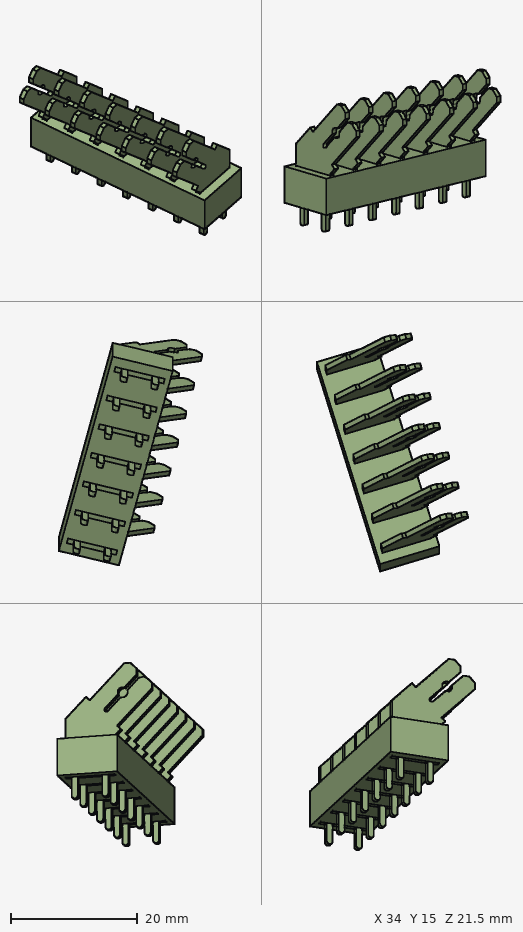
import cadquery as cq
import math

HOUSING_LENGTH = 34.0
HOUSING_DEPTH = 9.8
HOUSING_HEIGHT = 6.0

CONTACT_COUNT = 7
CONTACT_PITCH = 5.0
CONTACT_THICKNESS = 0.8

SHANK_WIDTH = 8.02
BEND_ANGLE = 45.0
BEND_HEIGHT = 7.9
SHOULDER_DISTANCE = 3.13

BLADE_WIDTH = 6.32
BLADE_LENGTH = 8.7
TIP_CHAMFER = 0.7
SLOT_WIDTH = 0.68
SLOT_END_CENTER = 0.7
RELIEF_DIAMETER = 1.65
RELIEF_CENTER = 4.45

LEG_WIDTH = 1.0
LEG_SPACING = 5.0
LEG_LENGTH = 3.5
LEG_TIP_RADIUS = 0.45

contact_xs = [
    (index - (CONTACT_COUNT - 1) / 2) * CONTACT_PITCH
    for index in range(CONTACT_COUNT)
]


def make_housing():
    """Rectangular block with one through slot for each contact shank."""
    block = cq.Workplane("XY").box(
        HOUSING_LENGTH, HOUSING_DEPTH, HOUSING_HEIGHT, centered=(True, True, False)
    )
    slots = (
        cq.Workplane("XY")
        .pushPoints([(x, 0) for x in contact_xs])
        .rect(CONTACT_THICKNESS, SHANK_WIDTH)
        .extrude(HOUSING_HEIGHT)
    )
    return block.cut(slots).solids().val()


def plate_sketch(plane):
    """Workplane set back half a thickness, so an extruded plate is centred."""
    return cq.Workplane(plane).workplane(offset=-CONTACT_THICKNESS / 2)


def make_shank():
    """Constant-width strip with a mitred bend, cut off square at the shoulder."""
    slope = math.radians(BEND_ANGLE)
    half_width = SHANK_WIDTH / 2
    miter_rise = half_width * math.tan(slope / 2)
    shoulder_y = -SHOULDER_DISTANCE * math.sin(slope)
    shoulder_z = BEND_HEIGHT + SHOULDER_DISTANCE * math.cos(slope)
    across_y = half_width * math.cos(slope)
    across_z = half_width * math.sin(slope)
    outline = [
        (half_width, 0),
        (half_width, BEND_HEIGHT + miter_rise),
        (shoulder_y + across_y, shoulder_z + across_z),
        (shoulder_y - across_y, shoulder_z - across_z),
        (-half_width, BEND_HEIGHT - miter_rise),
        (-half_width, 0),
    ]
    return plate_sketch("YZ").polyline(outline).close().extrude(CONTACT_THICKNESS)


def make_blade():
    """Two-pronged blade, made upright above the bend and then tilted toward -Y."""
    tip = SHOULDER_DISTANCE + BLADE_LENGTH
    slot_end = SHOULDER_DISTANCE + SLOT_END_CENTER
    half_slot = SLOT_WIDTH / 2
    slot = (
        plate_sketch("YZ")
        .moveTo(half_slot, tip)
        .lineTo(half_slot, slot_end)
        .threePointArc((0, slot_end - half_slot), (-half_slot, slot_end))
        .lineTo(-half_slot, tip)
        .close()
        .extrude(CONTACT_THICKNESS)
    )
    relief = (
        plate_sketch("YZ")
        .center(0, SHOULDER_DISTANCE + RELIEF_CENTER)
        .circle(RELIEF_DIAMETER / 2)
        .extrude(CONTACT_THICKNESS)
    )
    blade = (
        plate_sketch("YZ")
        .center(0, SHOULDER_DISTANCE + BLADE_LENGTH / 2)
        .rect(BLADE_WIDTH, BLADE_LENGTH)
        .extrude(CONTACT_THICKNESS)
        .cut(slot)
        .faces(">Z")
        .edges("|X")
        .chamfer(TIP_CHAMFER)
        .cut(relief)
    )
    tilted = blade.rotate((0, 0, 0), (1, 0, 0), BEND_ANGLE)
    return tilted.translate((0, 0, BEND_HEIGHT))


def make_legs():
    """Pair of legs below the shank, with rounded lower corners."""
    return (
        plate_sketch("YZ")
        .pushPoints([(side * LEG_SPACING / 2, -LEG_LENGTH / 2) for side in (-1, 1)])
        .rect(LEG_WIDTH, LEG_LENGTH)
        .extrude(CONTACT_THICKNESS)
        .faces("<Z")
        .edges("|X")
        .fillet(LEG_TIP_RADIUS)
    )


def make_contact(x):
    """One flat contact: legs, bent shank and forked blade in a single solid."""
    contact = make_shank().union(make_blade()).union(make_legs())
    return contact.translate((x, 0, 0)).solids().val()


housing = make_housing()
contacts = [make_contact(x) for x in contact_xs]

result = cq.Compound.makeCompound([housing, *contacts])